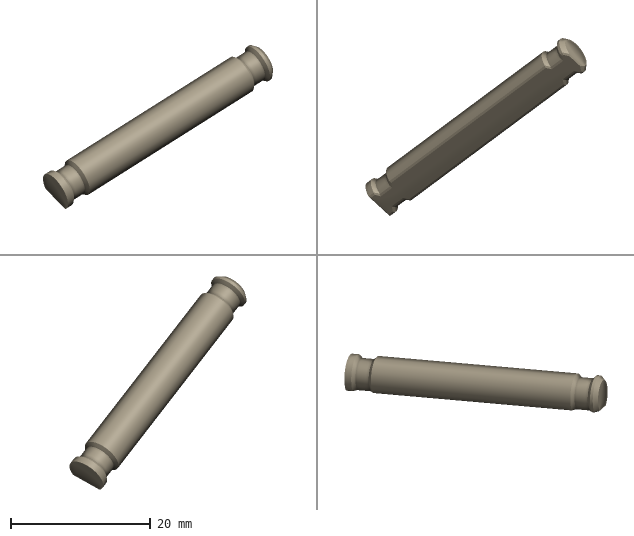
import cadquery as cq

length = 38.0
diameter = 5.8
height = 4.9
radius = diameter / 2
flat_z = radius - height

groove_diameter = 4.83
groove_radius = groove_diameter / 2
head_length = 1.03
cone_length = 0.5
groove_length = 1.98

rear_chamfer = 0.6
flat_chamfer = 0.2

front_y = -length / 2
rear_y = length / 2


def round_pin():
    blank = cq.Workplane("XZ", origin=(0, rear_y, 0)).circle(radius).extrude(length)
    return blank.faces(">Y").edges().chamfer(rear_chamfer)


def groove_ring(end_y, inward):
    """Ring of material removed by a groove; inward is +1 or -1 along Y."""
    outer_start = end_y + inward * head_length
    bottom_start = outer_start + inward * cone_length
    bottom_end = bottom_start + inward * groove_length
    outer_end = bottom_end + inward * cone_length
    profile = cq.Workplane("XY").polyline([
        (radius, outer_start),
        (groove_radius, bottom_start),
        (groove_radius, bottom_end),
        (radius, outer_end),
        (diameter, outer_end),
        (diameter, outer_start),
    ]).close()
    return profile.revolve(360, (0, 0, 0), (0, 1, 0))


def below_flat():
    return cq.Workplane("XY", origin=(0, 0, flat_z)).rect(2 * diameter, 2 * length).extrude(-diameter)


pin = round_pin()
for end_y, inward in ((front_y, 1), (rear_y, -1)):
    pin = pin.cut(groove_ring(end_y, inward))

flatted_pin = pin.cut(below_flat())
result = flatted_pin.faces("<Z").edges().chamfer(flat_chamfer)